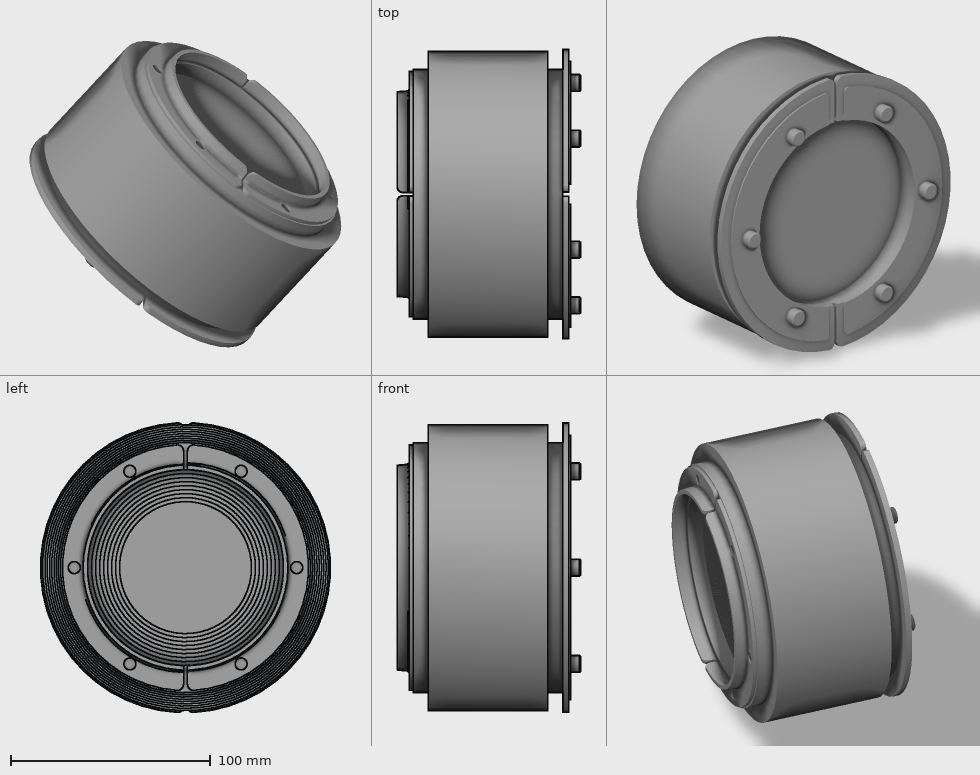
import cadquery as cq
import math

plate_front = 6.0
core_front = 8.0
neck_length = 7.5
drum_length = 60.0
flange_thickness = 3.0
pad_thickness = 1.0
head_height = 5.0

drum_front = core_front + neck_length
drum_back = drum_front + drum_length
core_back = drum_back + neck_length
flange_back = core_back + flange_thickness
pad_back = flange_back + pad_thickness

drum_radius = 71.5
neck_radius = 62.5
bore_radius = 49.0
plate_radius = 61.5
flange_radius = 72.5
pad_radius = 66.5

ring_count = 8
ring_step = 0.02
floor_centre_radius = 33.0

lip_front_radius = 51.2
lip_base_radius = 51.7
lip_inner_bend = 3.3
lip_outer_bend = 0.7
lip_corner_radius = 3.0

split_half_width = 1.0
lip_split_half_width = 0.8
pad_half_gap = 5.0
plate_corner_radius = 3.0
pad_corner_radius = 2.0

screw_count = 6
screw_circle_radius = 55.6
head_diameter = 8.5
head_chamfer = 0.8
screw_hole_diameter = 6.0
screw_hole_depth = 1.0


def revolve_about_x(profile):
    """Turn a closed X-radius profile, drawn on the -Y side, about the X axis."""
    return profile.close().revolve(360, (0, 0, 0), (1, 0, 0))


def add_terraces(profile, outer_radius, inner_radius):
    """Extend a core profile inward from outer_radius to inner_radius in ring_count fine steps."""
    pitch = (outer_radius - inner_radius) / ring_count
    for ring in range(1, ring_count):
        edge_radius = outer_radius - ring * pitch
        profile = profile.lineTo(drum_front + (ring - 1) * ring_step, -edge_radius)
        profile = profile.lineTo(drum_front + ring * ring_step, -edge_radius)
    return profile.lineTo(drum_front + (ring_count - 1) * ring_step, -inner_radius)


def make_core():
    """Drum with a narrower collar and a shallow round recess at each end."""
    floor_centre = drum_front + ring_count * ring_step
    profile = (
        cq.Workplane("XY")
        .moveTo(drum_back, 0)
        .lineTo(drum_back, -bore_radius)
        .lineTo(core_back, -bore_radius)
        .lineTo(core_back, -neck_radius)
        .lineTo(drum_back, -neck_radius)
        .lineTo(drum_back, -drum_radius)
        .lineTo(drum_front, -drum_radius)
    )
    profile = add_terraces(profile, drum_radius, neck_radius)
    profile = (
        profile
        .lineTo(core_front, -neck_radius)
        .lineTo(core_front, -bore_radius)
        .lineTo(drum_front, -bore_radius)
    )
    profile = add_terraces(profile, bore_radius, floor_centre_radius)
    profile = profile.lineTo(floor_centre, -floor_centre_radius).lineTo(floor_centre, 0)
    return revolve_about_x(profile)


def make_half_space(side, half_gap):
    """Block that keeps only what lies beyond half_gap on one side (+1 or -1) of Y = 0."""
    reach = 2 * flange_radius
    return cq.Workplane("XY").box(2 * reach, reach, 2 * reach).translate(
        (0, side * (half_gap + reach / 2), 0)
    )


def make_half_ring(side, x_start, thickness, outer_radius, half_gap, corner_radius):
    """Half of a flat ring, with its two outer corners beside the split rounded."""
    ring = (
        cq.Workplane("YZ", origin=(x_start, 0, 0))
        .circle(outer_radius)
        .circle(bore_radius)
        .extrude(thickness)
    )
    half = ring.intersect(make_half_space(side, half_gap))
    corner_y = side * half_gap
    corner_z = math.sqrt(outer_radius**2 - half_gap**2)
    for z in (corner_z, -corner_z):
        corner = cq.selectors.NearestToPointSelector((x_start + thickness / 2, corner_y, z))
        half = half.edges("|X").edges(corner).fillet(corner_radius)
    return half


def make_lip():
    """Tapered lip whose root curls outward into the front plate on two bends."""
    bend_reach = 1 - math.sqrt(0.5)
    inner_bend_end = bore_radius + lip_inner_bend
    outer_bend_end = lip_base_radius + lip_outer_bend
    profile = (
        cq.Workplane("XY")
        .moveTo(0, -bore_radius)
        .lineTo(core_front - lip_inner_bend, -bore_radius)
        .threePointArc(
            (core_front - lip_inner_bend * bend_reach, -(bore_radius + lip_inner_bend * bend_reach)),
            (core_front, -inner_bend_end),
        )
        .lineTo(plate_front, -outer_bend_end)
        .threePointArc(
            (plate_front - lip_outer_bend * bend_reach, -(lip_base_radius + lip_outer_bend * bend_reach)),
            (plate_front - lip_outer_bend, -lip_base_radius),
        )
        .lineTo(0, -lip_front_radius)
    )
    return revolve_about_x(profile)


def make_half_lip(side):
    """Half of the lip, with the rim rounded at both ends of the split."""
    half = make_lip().intersect(make_half_space(side, lip_split_half_width))
    rim_radius = (bore_radius + lip_front_radius) / 2
    for z in (rim_radius, -rim_radius):
        corner = cq.selectors.NearestToPointSelector((0, side * lip_split_half_width, z))
        half = half.edges("|Z").edges(corner).fillet(lip_corner_radius)
    return half


def make_front_half_plate(side):
    """Front clamp plate half: a flat half ring opened up at the bend, plus the half lip."""
    plate = make_half_ring(
        side, plate_front, core_front - plate_front, plate_radius, split_half_width, plate_corner_radius
    )
    bend_opening = (
        cq.Workplane("YZ").circle(bore_radius + lip_inner_bend).extrude(core_front)
    )
    return plate.cut(bend_opening).union(make_half_lip(side))


def make_rear_half_plate(side):
    """Rear flange half with a smaller raised pad on its outer face."""
    flange = make_half_ring(
        side, core_back, flange_thickness, flange_radius, split_half_width, plate_corner_radius
    )
    pad = make_half_ring(side, flange_back, pad_thickness, pad_radius, pad_half_gap, pad_corner_radius)
    return flange.union(pad)


def on_screw_circle(x):
    """Workplane facing +X at station x, with a point at every screw."""
    return cq.Workplane("YZ", origin=(x, 0, 0)).polarArray(screw_circle_radius, 0, 360, screw_count)


def make_screw_heads():
    """Chamfered cylindrical screw heads standing on the rear pads."""
    heads = on_screw_circle(pad_back).circle(head_diameter / 2).extrude(head_height)
    return heads.faces(">X").edges().chamfer(head_chamfer)


def make_screw_holes():
    """Shallow round holes in the front plate, in line with the screws."""
    return on_screw_circle(plate_front).circle(screw_hole_diameter / 2).extrude(screw_hole_depth)


front_plate = make_front_half_plate(1).union(make_front_half_plate(-1)).cut(make_screw_holes())
rear_plate = make_rear_half_plate(1).union(make_rear_half_plate(-1)).union(make_screw_heads())

result = rear_plate.union(make_core()).union(front_plate)